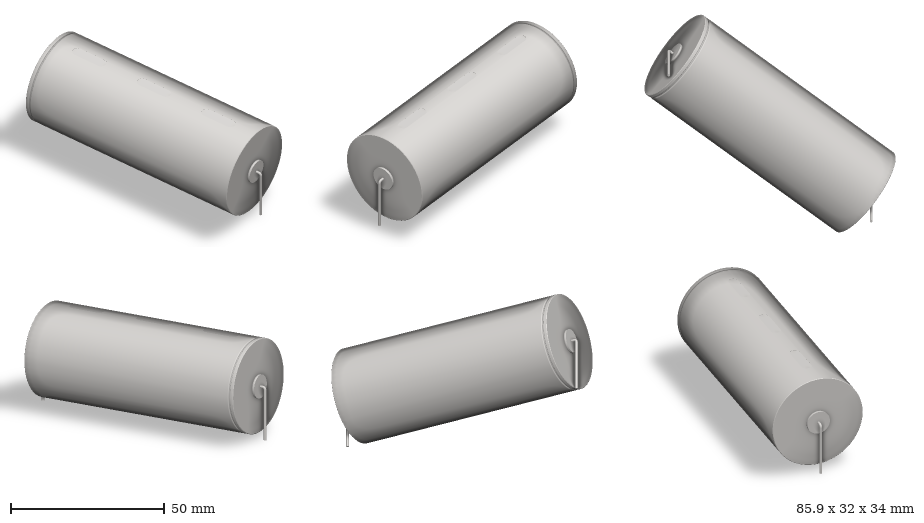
import cadquery as cq

body_length = 80.0
body_diameter = 31.95
edge_chamfer = 0.2
boss_diameter = 8.0
boss_height = 0.8
wire_diameter = 0.9
bend_radius = 0.9
overall_length = 85.9
overall_height = 34.0

groove_offset = 1.55
groove_floor_width = 0.4
lip_radius = 0.35

slot_length = 12.9
slot_width = 3.4
slot_pitch = 25.7
slot_depth = 0.1

body_radius = body_diameter / 2
body_end = body_length / 2
wire_x = (overall_length - wire_diameter) / 2
wire_bottom = body_radius - overall_height


def make_body():
    """Cylindrical can along X with chamfered rims."""
    can = cq.Workplane("YZ").circle(body_radius).extrude(body_end, both=True)
    return can.faces("<X or >X").chamfer(edge_chamfer)


def make_groove():
    """Ring to be removed from the can: a flat floor between two convex rounded lips."""
    center = -body_end + groove_offset
    half_floor = groove_floor_width / 2
    half_mouth = half_floor + lip_radius
    floor_radius = body_radius - lip_radius
    return (
        cq.Workplane("XY")
        .moveTo(center - half_mouth, body_radius)
        .radiusArc((center - half_floor, floor_radius), lip_radius)
        .lineTo(center + half_floor, floor_radius)
        .radiusArc((center + half_mouth, body_radius), lip_radius)
        .close()
        .revolve(360, (0, 0, 0), (1, 0, 0))
    )


def make_slots():
    """Row of three slot cutters reaching just below the top of the can."""
    return (
        cq.Workplane("XY", origin=(0, 0, body_radius - slot_depth))
        .rarray(slot_pitch, 0.9, 3, 1)
        .slot2D(slot_length, slot_width)
        .extrude(slot_depth)
    )


def make_boss():
    """Round boss on the -X end."""
    return (
        cq.Workplane("YZ", origin=(-body_end, 0, 0))
        .circle(boss_diameter / 2)
        .extrude(-boss_height)
    )


def make_lead():
    """Wire leaving the -X end along the axis and bending down."""
    path = (
        cq.Workplane("XZ")
        .moveTo(-body_end, 0)
        .lineTo(-wire_x + bend_radius, 0)
        .radiusArc((-wire_x, -bend_radius), -bend_radius)
        .lineTo(-wire_x, wire_bottom)
    )
    return (
        cq.Workplane("YZ", origin=(-body_end, 0, 0))
        .circle(wire_diameter / 2)
        .sweep(path)
    )


terminal = make_boss().union(make_lead())

result = (
    make_body()
    .cut(make_groove())
    .cut(make_slots())
    .union(terminal)
    .union(terminal.mirror("YZ"))
)